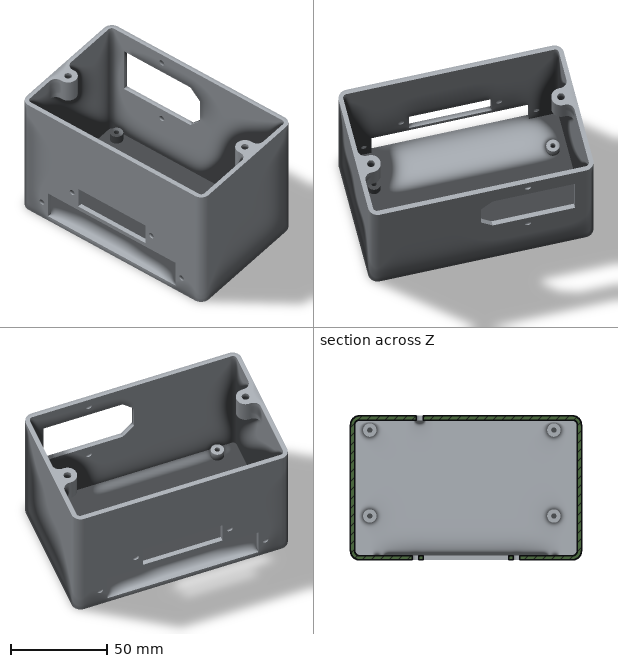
import cadquery as cq

length = 120.0
width = 75.0
height = 75.0
wall = 2.5
floor = 3.0
outer_radius = 5.0
inner_radius = 2.0

standoff_diameter = 7.0
standoff_hole_diameter = 2.8
standoff_height = 4.8
board_hole_pitch_x = 95.4
board_hole_pitch_y = 44.5
board_centre = (-2.2, 7.7)

boss_radius = 5.0
boss_inset = 7.5
boss_offset_y = 7.5
boss_depth = 13.0
boss_blend_radius = 4.0
lid_screw_diameter = 4.0

upper_window_length = 44.2
upper_window_height = 12.6
upper_window_z = 28.1
upper_screw_pitch = 52.2
upper_screw_z = 29.4
upper_screw_diameter = 3.2
lower_window_length = 84.0
lower_window_height = 16.3
lower_window_z = floor + lower_window_height / 2
lower_screw_pitch = 92.0
lower_screw_z = 10.8
lower_screw_diameter = 3.1

inlet_x = -24.0
inlet_z = 49.2
inlet_length = 50.2
inlet_height = 27.0
inlet_chamfer = 6.2
inlet_screw_pitch = 40.0
inlet_screw_diameter = 3.2


def make_shell():
    outer = cq.Workplane("XY").box(length, width, height, centered=(True, True, False))
    outer = outer.edges("|Z").fillet(outer_radius)
    cavity = (
        cq.Workplane("XY", origin=(0, 0, floor))
        .box(length - 2 * wall, width - 2 * wall, height - floor, centered=(True, True, False))
        .edges("|Z")
        .fillet(inner_radius)
    )
    return outer.cut(cavity)


def add_standoffs(body):
    def board_columns(diameter, base_z, column_height):
        return (
            cq.Workplane("XY", origin=(*board_centre, base_z))
            .rarray(board_hole_pitch_x, board_hole_pitch_y, 2, 2)
            .circle(diameter / 2)
            .extrude(column_height)
        )

    posts = board_columns(standoff_diameter, floor, standoff_height)
    holes = board_columns(standoff_hole_diameter, floor, standoff_height)
    return body.union(posts).cut(holes)


def make_left_boss():
    """Round-nosed boss that flares into the -X end wall with concave blends."""
    centre_x = -length / 2 + boss_inset
    wall_x = -length / 2 + wall
    embed_x = wall_x - wall / 2
    blend_end_x = wall_x + boss_blend_radius
    flare_y = boss_radius + boss_blend_radius
    blend_at_45 = boss_blend_radius * (1 - 0.5**0.5)
    blend_mid_x = wall_x + blend_at_45
    blend_mid_y = boss_radius + blend_at_45
    return (
        cq.Workplane("XY", origin=(0, -boss_offset_y, height - boss_depth))
        .moveTo(embed_x, flare_y)
        .lineTo(wall_x, flare_y)
        .threePointArc((blend_mid_x, blend_mid_y), (blend_end_x, boss_radius))
        .lineTo(centre_x, boss_radius)
        .threePointArc((centre_x + boss_radius, 0), (centre_x, -boss_radius))
        .lineTo(blend_end_x, -boss_radius)
        .threePointArc((blend_mid_x, -blend_mid_y), (wall_x, -flare_y))
        .lineTo(embed_x, -flare_y)
        .close()
        .extrude(boss_depth)
        .moveTo(centre_x, 0)
        .circle(lid_screw_diameter / 2)
        .cutThruAll()
    )


def add_lid_bosses(body):
    boss = make_left_boss()
    opposite_boss = boss.rotate((0, 0, 0), (0, 0, 1), 180)
    return body.union(boss).union(opposite_boss)


def wall_holes(outside_y, centres, diameter):
    """Cutters running in +Y through a single wall that starts at outside_y."""
    cutters = cq.Workplane("XZ", origin=(0, outside_y, 0)).pushPoints(centres)
    return cutters.circle(diameter / 2).extrude(-wall)


def cut_connector(body, window_length, window_height, window_z, screw_pitch, screw_z, screw_diameter):
    front_y = -width / 2
    window = (
        cq.Workplane("XZ", origin=(0, front_y, window_z))
        .rect(window_length, window_height)
        .extrude(-wall)
    )
    screw_centres = [(side * screw_pitch / 2, screw_z) for side in (-1, 1)]
    return body.cut(window).cut(wall_holes(front_y, screw_centres, screw_diameter))


def cut_power_inlet(body):
    inside_y = width / 2 - wall
    opening = (
        cq.Workplane("XZ", origin=(inlet_x, inside_y, inlet_z))
        .rect(inlet_length, inlet_height)
        .extrude(-wall)
        .edges("|Y and >X")
        .chamfer(inlet_chamfer)
    )
    screw_centres = [(inlet_x, inlet_z + side * inlet_screw_pitch / 2) for side in (-1, 1)]
    return body.cut(opening).cut(wall_holes(inside_y, screw_centres, inlet_screw_diameter))


result = make_shell()
result = add_standoffs(result)
result = add_lid_bosses(result)
result = cut_connector(
    result,
    upper_window_length,
    upper_window_height,
    upper_window_z,
    upper_screw_pitch,
    upper_screw_z,
    upper_screw_diameter,
)
result = cut_connector(
    result,
    lower_window_length,
    lower_window_height,
    lower_window_z,
    lower_screw_pitch,
    lower_screw_z,
    lower_screw_diameter,
)
result = cut_power_inlet(result)